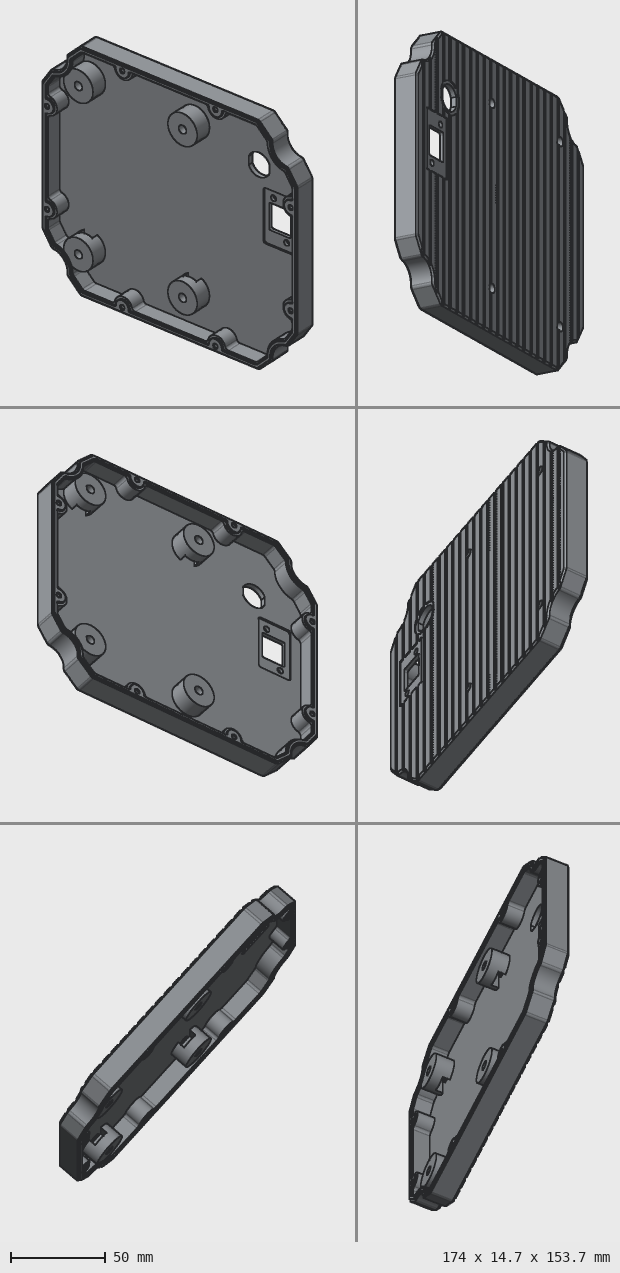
import cadquery as cq
import math

WIDTH = 173.99
HEIGHT = 153.74
DEPTH = 14.72

TOP_EDGE_HALF = 60.7
SIDE_EDGE_HALF = 45.3
SCALLOP_X = 80.3
SCALLOP_Z = 65.5
SCALLOP_RADIUS = 10.2
SCALLOP_UPPER_Z = 67.5
SCALLOP_LOWER_X = 80.4
CORNER_RADIUS = 2.4

WALL = 3.87
FLOOR = 3.85
LIP_HEIGHT = 1.1
LIP_OUTER_INSET = 1.0
LIP_INNER_INSET = 2.95
LIP_CHAMFER = 0.2
BACK_CHAMFER = 1.1

BOSS_RADIUS = 6.0
BOSS_LIP_RADIUS = 4.5
BOSS_BLEND_RADIUS = 2.0
BOSS_LIP_BLEND_RADIUS = 1.0
BOSS_SPREAD = 31.75
BOSS_INSET = 4.0
PILOT_DIAMETER = 2.2
PILOT_CHAMFER = 0.5
PILOT_DEPTH = 8.0
PILOT_TIP_ANGLE = 118

STANDOFF_XS = (-62.0, 9.0)
STANDOFF_Z = 51.85
STANDOFF_RADIUS = 10.0
STANDOFF_HOLE = 5.2
STANDOFF_SETBACK = 0.5
NUT_SLOT_WIDTH = 9.0
NUT_SLOT_DEPTH = 4.2

PORT_X = 52.7
PORT_Z = 41.75
PORT_DIAMETER = 15.0
PORT_FLATS = 14.0

PANEL_X = 66.2
PANEL_Z = 12.0
PANEL_WIDTH = 21.1
PANEL_HEIGHT = 34.3
PANEL_RADIUS = 1.8
PANEL_RECESS = 1.0
WINDOW_WIDTH = 14.7
WINDOW_HEIGHT = 16.8
WINDOW_RADIUS = 1.0
PANEL_HOLE = 3.5
PANEL_HOLE_DX = 4.45
PANEL_HOLE_DZ = 12.1

GROOVE_COUNT = 24
GROOVE_PITCH = 7.0
GROOVE_WIDTH = 2.0
GROOVE_DEPTH = 0.6

RELIEF_MARGIN = 2.0

RIM_Y = -DEPTH
SHOULDER_Y = RIM_Y + LIP_HEIGHT
STANDOFF_TOP_Y = RIM_Y + STANDOFF_SETBACK
FLOOR_Y = -FLOOR

EDGE_MARGIN = 0.5


def plane_at(y):
    """XZ workplane at depth y; extrusions run toward -Y."""
    return cq.Workplane("XZ", origin=(0, y, 0))


def scallop_points():
    """Upper end, middle and lower end of the scallop arc in the +X +Z quadrant."""
    upper_x = SCALLOP_X - math.sqrt(SCALLOP_RADIUS**2 - (SCALLOP_UPPER_Z - SCALLOP_Z) ** 2)
    lower_z = SCALLOP_Z - math.sqrt(SCALLOP_RADIUS**2 - (SCALLOP_LOWER_X - SCALLOP_X) ** 2)
    reach = SCALLOP_RADIUS * math.sqrt(0.5)
    middle = (SCALLOP_X - reach, SCALLOP_Z - reach)
    return [(upper_x, SCALLOP_UPPER_Z), middle, (SCALLOP_LOWER_X, lower_z)]


def outline(y, inset):
    """Closed scalloped outline at depth y, moved inward by inset."""
    top_corner = (TOP_EDGE_HALF, HEIGHT / 2)
    side_corner = (WIDTH / 2, SIDE_EDGE_HALF)
    quadrant = [top_corner, *scallop_points(), side_corner]
    path = plane_at(y).moveTo(-top_corner[0], top_corner[1])
    for sx, sz in ((1, 1), (1, -1), (-1, -1), (-1, 1)):
        ordered = quadrant if sx == sz else quadrant[::-1]
        first, start, middle, end, last = [(sx * x, sz * z) for x, z in ordered]
        path = path.lineTo(*first).lineTo(*start).threePointArc(middle, end)
        if (sx, sz) != (-1, 1):
            path = path.lineTo(*last)
    path = path.close()
    return path.offset2D(-inset) if inset else path


def slab(back_y, front_y, inset):
    """Solid of the rounded outline between two depths."""
    return outline(back_y, inset).extrude(back_y - front_y).edges("|Y").fillet(CORNER_RADIUS)


def boss_centres():
    """Two boss positions on each of the four straight sides."""
    boss_x = WIDTH / 2 - BOSS_INSET
    boss_z = HEIGHT / 2 - BOSS_INSET
    points = []
    for first in (-1, 1):
        for second in (-1, 1):
            points.append((first * BOSS_SPREAD, second * boss_z))
            points.append((first * boss_x, second * BOSS_SPREAD))
    return points


def blend_edges(space, x_range, z_range, radius):
    """Round the edges along Y inside the given X and Z ranges."""
    box = cq.selectors.BoxSelector((x_range[0], -DEPTH, z_range[0]), (x_range[1], 0, z_range[1]))
    return space.edges("|Y").edges(box).fillet(radius)


def cavity(back_y, front_y, inset, boss_radius, blend_radius):
    """Inner space of the shell, leaving round bosses along the wall."""
    space = slab(back_y, front_y, inset)
    bosses = plane_at(back_y).pushPoints(boss_centres()).circle(boss_radius).extrude(back_y - front_y)
    space = space.cut(bosses)
    wall_x = WIDTH / 2 - inset
    wall_z = HEIGHT / 2 - inset
    reach = BOSS_SPREAD + boss_radius + EDGE_MARGIN
    along = (-reach, reach)
    for side in (-1, 1):
        near_x = (side * wall_x - EDGE_MARGIN, side * wall_x + EDGE_MARGIN)
        near_z = (side * wall_z - EDGE_MARGIN, side * wall_z + EDGE_MARGIN)
        space = blend_edges(space, along, near_z, blend_radius)
        space = blend_edges(space, near_x, along, blend_radius)
    return space


def shell():
    """Tray with a chamfered back edge and a raised lip standing on its shoulder."""
    body = slab(0, SHOULDER_Y, 0).faces(">Y").chamfer(BACK_CHAMFER)
    body = body.cut(cavity(FLOOR_Y, SHOULDER_Y, WALL, BOSS_RADIUS, BOSS_BLEND_RADIUS))
    lip = slab(SHOULDER_Y, RIM_Y, LIP_OUTER_INSET)
    lip = lip.cut(cavity(SHOULDER_Y, RIM_Y, LIP_INNER_INSET, BOSS_LIP_RADIUS, BOSS_LIP_BLEND_RADIUS))
    lip = lip.faces("<Y").chamfer(LIP_CHAMFER)
    return body.union(lip)


def standoffs(body):
    """Drilled standoffs, trimmed to the cavity, with nut slots opening toward Z = 0."""
    room = cavity(FLOOR_Y, STANDOFF_TOP_Y, WALL, BOSS_RADIUS, BOSS_BLEND_RADIUS)
    slot_length = STANDOFF_RADIUS + NUT_SLOT_WIDTH / 2
    slot_z = STANDOFF_Z + NUT_SLOT_WIDTH / 2 - slot_length / 2
    for side in (-1, 1):
        points = [(x, side * STANDOFF_Z) for x in STANDOFF_XS]
        slot_points = [(x, side * slot_z) for x in STANDOFF_XS]
        posts = plane_at(FLOOR_Y).pushPoints(points).circle(STANDOFF_RADIUS)
        posts = posts.extrude(FLOOR_Y - STANDOFF_TOP_Y).intersect(room)
        slots = plane_at(FLOOR_Y).pushPoints(slot_points).rect(NUT_SLOT_WIDTH, slot_length)
        slots = slots.extrude(NUT_SLOT_DEPTH)
        holes = plane_at(0).pushPoints(points).circle(STANDOFF_HOLE / 2).extrude(DEPTH)
        body = body.union(posts.cut(slots)).cut(holes)
    return body


def pilot_holes(body):
    """Blind screw holes in the bosses with a chamfered mouth and a drill-point tip."""
    radius = PILOT_DIAMETER / 2
    mouth = radius + PILOT_CHAMFER
    tip = radius / math.tan(math.radians(PILOT_TIP_ANGLE / 2))
    half_section = [
        (0, 0),
        (mouth, 0),
        (radius, PILOT_CHAMFER),
        (radius, PILOT_DEPTH),
        (0, PILOT_DEPTH + tip),
    ]
    drill = cq.Workplane("XY").polyline(half_section).close().revolve(360, (0, 0, 0), (0, 1, 0))
    for x, z in boss_centres():
        body = body.cut(drill.translate((x, RIM_Y, z)))
    return body


def port(body):
    """Round opening through the floor, narrowed in X by two flats."""
    at = plane_at(0).center(PORT_X, PORT_Z)
    opening = at.circle(PORT_DIAMETER / 2).extrude(FLOOR)
    between_flats = at.rect(PORT_FLATS, PORT_DIAMETER).extrude(FLOOR)
    return body.cut(opening.intersect(between_flats))


def panel(body):
    """Shallow recess in the floor with a window and two screw holes on a diagonal."""
    recess = plane_at(FLOOR_Y + PANEL_RECESS).center(PANEL_X, PANEL_Z).rect(PANEL_WIDTH, PANEL_HEIGHT)
    recess = recess.extrude(PANEL_RECESS).edges("|Y").fillet(PANEL_RADIUS)
    window = plane_at(0).center(PANEL_X, PANEL_Z).rect(WINDOW_WIDTH, WINDOW_HEIGHT)
    window = window.extrude(FLOOR).edges("|Y").fillet(WINDOW_RADIUS)
    hole_points = [
        (PANEL_X - PANEL_HOLE_DX, PANEL_Z + PANEL_HOLE_DZ),
        (PANEL_X + PANEL_HOLE_DX, PANEL_Z - PANEL_HOLE_DZ),
    ]
    holes = plane_at(0).pushPoints(hole_points).circle(PANEL_HOLE / 2).extrude(FLOOR)
    return body.cut(recess).cut(window).cut(holes)


def grooves(body):
    """Evenly spaced grooves across the full height of the back face."""
    cutters = plane_at(0).rarray(GROOVE_PITCH, 1, GROOVE_COUNT, 1).rect(GROOVE_WIDTH, HEIGHT)
    return body.cut(cutters.extrude(GROOVE_DEPTH))


def back_relief(body):
    """Flat seats behind the port and the panel, where the ridges between grooves are removed."""
    port_seat = plane_at(0).center(PORT_X, PORT_Z).circle(PORT_DIAMETER / 2 + RELIEF_MARGIN)
    panel_seat = plane_at(0).center(PANEL_X, PANEL_Z).rect(PANEL_WIDTH, PANEL_HEIGHT)
    return body.cut(port_seat.extrude(GROOVE_DEPTH)).cut(panel_seat.extrude(GROOVE_DEPTH))


result = shell()
result = standoffs(result)
result = pilot_holes(result)
result = port(result)
result = panel(result)
result = grooves(result)
result = back_relief(result)